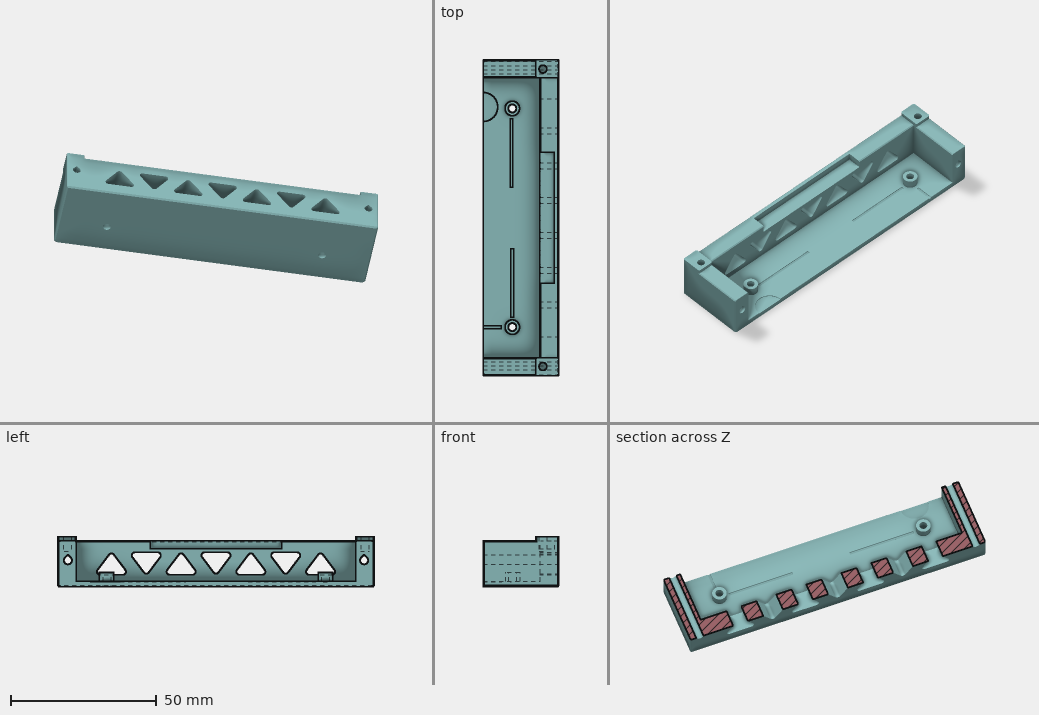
import cadquery as cq

WIDTH = 25.96
LENGTH = 108.49
EAR_TOP = 17.2
EAR_RISE = 1.35
BODY_TOP = EAR_TOP - EAR_RISE
EDGE_BREAK = 0.35
BOTTOM_BREAK = 0.5

CAVITY_LENGTH = 96.0
FLOOR = 2.0
WALL = 6.5
WALL_INNER_X = WIDTH - WALL

EAR_START_X = 18.0
EAR_ROOT = 1.0
END_BLOCK = (LENGTH - CAVITY_LENGTH) / 2
SCREW_DIAMETER = 2.7
SCREW_X = 20.5
SCREW_Y = 51.0
SCREW_DEPTH = 5.0

TEARDROP_Y = 50.8
TEARDROP_Z = 9.1
TEARDROP_DIAMETER = 2.7

SEAT_LENGTH = 45.0
SEAT_DEPTH = 2.8
SEAT_LIP = 1.5

WINDOW_COUNT = 7
WINDOW_PITCH = 11.95
WINDOW_MID_Z = 8.0
WINDOW_BASE_OFFSET = 3.8
WINDOW_APEX_OFFSET = 4.1
WINDOW_BASE = 11.9
WINDOW_CORNER = 1.0

BOSS_DIAMETER = 5.0
BOSS_HEIGHT = 3.0
BOSS_X = 10.0
BOSS_Y = 37.5

MARK_DEPTH = 0.3
MARK_WIDTH = 0.95
LINE_LENGTH = 23.5
LINE_CENTER_Y = 22.3
UPPER_LINE_X = 9.7
LOWER_LINE_X = BOSS_X
TICK_LENGTH = 6.25
DISC_RADIUS = 5.0
DISC_Y = 38.0


def box(x_start, x_end, y_center, y_size, z_start, z_end):
    """Box given by its X range, its Y centre and size, and its Z range."""
    return (
        cq.Workplane("XY", origin=(x_start, y_center, z_start))
        .box(x_end - x_start, y_size, z_end - z_start, centered=(False, True, False))
    )


def make_tray():
    """Floor, long wall and end blocks with chamfered edges, except along the open -X side."""
    block = box(0, WIDTH, 0, LENGTH, 0, BODY_TOP)
    block = block.edges("|Z").chamfer(EDGE_BREAK)
    block = block.faces("<Z").edges("not <X").chamfer(BOTTOM_BREAK)
    block = block.faces(">Z").edges("not <X").chamfer(EDGE_BREAK)
    tray = block.cut(box(0, WALL_INNER_X, 0, CAVITY_LENGTH, FLOOR, BODY_TOP))
    reach = CAVITY_LENGTH / 2
    rim = cq.selectors.BoxSelector(
        (-EDGE_BREAK, -reach - EDGE_BREAK, BODY_TOP - EDGE_BREAK),
        (WALL_INNER_X + EDGE_BREAK, reach + EDGE_BREAK, BODY_TOP + EDGE_BREAK),
    )
    return tray.faces(">Z").edges(rim).chamfer(EDGE_BREAK)


def make_ear(side):
    """Ear on one end block (side is +1 or -1) with chamfered upright edges."""
    y_center = side * (LENGTH - END_BLOCK) / 2
    ear = box(EAR_START_X, WIDTH, y_center, END_BLOCK, BODY_TOP - EAR_ROOT, EAR_TOP)
    return ear.edges("|Z").chamfer(EDGE_BREAK)


def make_screw_hole(side):
    """Blind vertical hole down from the top of an ear."""
    start = cq.Workplane("XY", origin=(SCREW_X, side * SCREW_Y, EAR_TOP))
    return start.circle(SCREW_DIAMETER / 2).extrude(-SCREW_DEPTH)


def make_teardrop(side):
    """Bore along X: a circle topped by a 45 degree point."""
    radius = TEARDROP_DIAMETER / 2
    tangent = radius / 2**0.5
    tip = radius * 2**0.5
    return (
        cq.Workplane("YZ", origin=(0, side * TEARDROP_Y, TEARDROP_Z))
        .moveTo(-tangent, tangent)
        .threePointArc((0, -radius), (tangent, tangent))
        .lineTo(0, tip)
        .close()
        .extrude(WIDTH)
    )


def make_seat():
    """Pocket in the top of the long wall, open to the cavity and closed by the outer lip."""
    return box(WALL_INNER_X, WIDTH - SEAT_LIP, 0, SEAT_LENGTH, BODY_TOP - SEAT_DEPTH, BODY_TOP)


def make_window(y_center, upright):
    """Rounded triangular opening through the long wall."""
    direction = 1 if upright else -1
    base_z = WINDOW_MID_Z - direction * WINDOW_BASE_OFFSET
    apex_z = WINDOW_MID_Z + direction * WINDOW_APEX_OFFSET
    corners = [(-WINDOW_BASE / 2, base_z), (WINDOW_BASE / 2, base_z), (0, apex_z)]
    return (
        cq.Workplane("YZ", origin=(WALL_INNER_X, y_center, 0))
        .polyline(corners)
        .close()
        .extrude(WALL)
        .edges("|X")
        .fillet(WINDOW_CORNER)
    )


def make_floor_marks():
    """Half disc and tick at the open side, and a line beside each boss."""
    bottom = FLOOR - MARK_DEPTH
    disc = cq.Workplane("XY", origin=(0, DISC_Y, bottom)).circle(DISC_RADIUS).extrude(MARK_DEPTH)
    marks = disc.union(box(0, TICK_LENGTH, -BOSS_Y, MARK_WIDTH, bottom, FLOOR))
    for line_x, side in ((UPPER_LINE_X, 1), (LOWER_LINE_X, -1)):
        start = line_x - MARK_WIDTH / 2
        line = box(start, start + MARK_WIDTH, side * LINE_CENTER_Y, LINE_LENGTH, bottom, FLOOR)
        marks = marks.union(line)
    return marks


def make_post(side, diameter, z_start, z_end):
    """Upright cylinder on a boss axis."""
    start = cq.Workplane("XY", origin=(BOSS_X, side * BOSS_Y, z_start))
    return start.circle(diameter / 2).extrude(z_end - z_start)


result = make_tray()

for end in (-1, 1):
    result = result.union(make_ear(end))
    result = result.cut(make_screw_hole(end))
    result = result.cut(make_teardrop(end))

result = result.cut(make_seat())

for index in range(WINDOW_COUNT):
    window_y = (index - (WINDOW_COUNT - 1) / 2) * WINDOW_PITCH
    result = result.cut(make_window(window_y, upright=index % 2 == 0))

result = result.cut(make_floor_marks())

for end in (-1, 1):
    boss_top = FLOOR + BOSS_HEIGHT
    result = result.union(make_post(end, BOSS_DIAMETER, FLOOR, boss_top))
    result = result.cut(make_post(end, SCREW_DIAMETER, 0, boss_top))